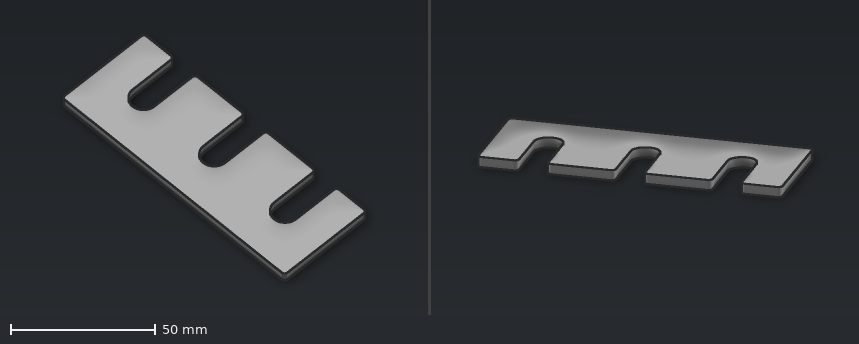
import cadquery as cq

length = 110.0
width = 40.0
thickness = 3.8
corner_radius = 1.5

slot_count = 3
slot_pitch = 35.0
slot_width = 10.5
slot_radius = slot_width / 2
slot_center_depth = width / 2


def slot_cutter(x):
    """Slot at x with a round end, running out through the back edge."""
    center_y = width / 2 - slot_center_depth
    straight = (
        cq.Workplane("XY")
        .center(x, center_y + slot_center_depth / 2)
        .rect(slot_width, slot_center_depth)
        .extrude(thickness)
    )
    round_end = cq.Workplane("XY").center(x, center_y).circle(slot_radius).extrude(thickness)
    return straight.union(round_end)


plate = cq.Workplane("XY").box(length, width, thickness, centered=(True, True, False))

for index in range(slot_count):
    slot_x = (index - (slot_count - 1) / 2) * slot_pitch
    plate = plate.cut(slot_cutter(slot_x))

outer_corners = cq.selectors.StringSyntaxSelector("|Z and (>Y or <Y)")
result = plate.edges(outer_corners).fillet(corner_radius)